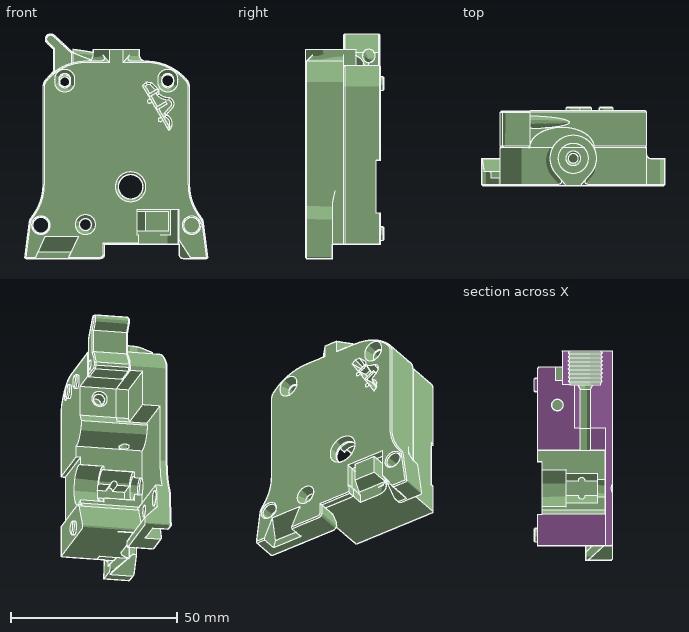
import cadquery as cq
import math

HALF_WIDTH = 22.05
HALF_FOOT = 27.6
EDGE_CHAMFER = 0.4
FRONT_DEPTH = 11.5
REAR_FACE = 22.65
OVERALL_DEPTH = 23.7
PLATE_THICKNESS = 2.3

BELLY_Z = 4.3
NOTCH_BOTTOM = 39.6
NOTCH_TOP = 50.15
WALL_DEPTH = 7.7
INNER_LEFT = -5.4
SPRING_WALL = -3.4

TOP_Z = 59.4
TOP_FLAT = 8.9
SHOULDER_RADIUS = 16.2
CORNER_RADIUS = 3.6
CORNER_X = HALF_WIDTH - CORNER_RADIUS
SHOULDER_Z = TOP_Z - SHOULDER_RADIUS
CORNER_ANGLE = math.acos((CORNER_X - TOP_FLAT) / (SHOULDER_RADIUS - CORNER_RADIUS))
CORNER_END_Z = SHOULDER_Z + (SHOULDER_RADIUS - CORNER_RADIUS) * math.sin(CORNER_ANGLE)

LEFT_FOOT_INNER = -3.5
RIGHT_FOOT_INNER = 18.85
FOOT_DEPTH = 8.2
EAR_DEPTH = 4.25
EAR_TOP_Z = 13.65
EAR_SIDE = (26.1, 11.6)
EAR_ROUNDING = 2.7
TOE_ROUNDING = 0.5
WAIST_Z = 22.3
WAIST_RADIUS = 15.5
WAIST_ANGLE = math.asin((WAIST_Z - EAR_TOP_Z) / WAIST_RADIUS)

SPOUT_Y = 8.25
SPOUT_RADIUS = 6.95
SPOUT_TOP = 62.95
SPOUT_FLOOR = 52.7
SPOUT_NOSE = 2.1
SPOUT_FLARE = 1.8
THREAD_MINOR = 9.05
THREAD_MAJOR = 10.15
THREAD_PITCH = 1.2
FILAMENT_SEAT = 4.4
FILAMENT_HOLE = 3.0
FILAMENT_END = 27.05

SHAFT_X, SHAFT_Z = 4.3, 21.6
SHAFT_HOLE = 7.3
SHAFT_MOUTH = 9.05
GEAR_BORE = 10.15
GEAR_BORE_START = 4.6
PILOT_BORE = 12.2
PILOT_START = 14.05
GEAR_SLOT_HEIGHT = 4.45
GEAR_SLOT_REACH = 10.8
CROSS_HOLE = 2.0

SCREW_HOLE = 3.5
SCREW_MOUTH = 6.0
SCREW_STRETCH = 0.8
UPPER_SCREW = (15.5, 53.1)
LOWER_SCREW = (-9.25, 10.3)
EAR_HOLE = 4.7
EAR_HOLE_X, EAR_HOLE_Z = 22.65, 10.1
EAR_BLIND_DEPTH = 6.1


def sketch(y):
    """Drawing plane parallel to XZ at depth y."""
    return cq.Workplane("XZ", origin=(0, y, 0))


def box(x, y, z):
    """Box from (low, high) pairs along each axis."""
    size = (x[1] - x[0], y[1] - y[0], z[1] - z[0])
    return cq.Workplane("XY").box(*size, centered=False).translate((x[0], y[0], z[0]))


def bore(x, z, diameter, start, end):
    """Cylinder along Y."""
    return sketch(start).center(x, z).circle(diameter / 2).extrude(start - end)


def cone(x, z, wide, narrow, depth):
    """Conical mouth opening at the front face."""
    return (
        sketch(0).center(x, z).circle(wide / 2)
        .workplane(offset=-depth).circle(narrow / 2).loft(ruled=True)
    )


def shoulder(wire, side, rising, drop=0.0):
    """Add one shoulder of the crown, lowered by drop; side is -1 or 1."""
    def on_shoulder(angle):
        x = TOP_FLAT + SHOULDER_RADIUS * math.cos(angle)
        return side * x, SHOULDER_Z - drop + SHOULDER_RADIUS * math.sin(angle)

    def on_corner(angle):
        x = CORNER_X + CORNER_RADIUS * math.cos(angle)
        return side * x, CORNER_END_Z - drop + CORNER_RADIUS * math.sin(angle)

    top = (side * TOP_FLAT, TOP_Z - drop)
    middle = on_shoulder((CORNER_ANGLE + math.pi / 2) / 2)
    joint = on_shoulder(CORNER_ANGLE)
    corner = on_corner(CORNER_ANGLE / 2)
    flank = (side * HALF_WIDTH, CORNER_END_Z - drop)
    if rising:
        return wire.threePointArc(corner, joint).threePointArc(middle, top)
    return wire.threePointArc(middle, joint).threePointArc(corner, flank)


def core_flank(wire):
    """Left flank of the core, from the belly up to the underside of the lever."""
    return (
        wire.lineTo(-5.7, BELLY_Z)
        .threePointArc((-6.7, 4.7), (-6.5, 5.8))
        .lineTo(-2.0, 12.85)
        .lineTo(1.8, 15.1)
        .lineTo(1.8, 32.9)
        .threePointArc((-3.2, 34.75), (INNER_LEFT, 38.75))
        .lineTo(SPRING_WALL, 41.1)
        .lineTo(SPRING_WALL, NOTCH_TOP)
    )


def waist(side, angle):
    """Point on the arc that leads from the flank out to the ear."""
    x = HALF_WIDTH + WAIST_RADIUS * (1 - math.cos(angle))
    return side * x, WAIST_Z - WAIST_RADIUS * math.sin(angle)


def front_outline():
    wire = (
        sketch(0)
        .moveTo(-HALF_FOOT, 0)
        .lineTo(-EAR_SIDE[0], EAR_SIDE[1])
        .lineTo(*waist(-1, WAIST_ANGLE))
        .threePointArc(waist(-1, WAIST_ANGLE / 2), (-HALF_WIDTH, WAIST_Z))
        .lineTo(-HALF_WIDTH, CORNER_END_Z)
    )
    wire = shoulder(wire, -1, True).lineTo(TOP_FLAT, TOP_Z)
    return (
        shoulder(wire, 1, False)
        .lineTo(HALF_WIDTH, WAIST_Z)
        .threePointArc(waist(1, WAIST_ANGLE / 2), waist(1, WAIST_ANGLE))
        .lineTo(*EAR_SIDE)
        .lineTo(HALF_FOOT, 0)
        .lineTo(RIGHT_FOOT_INNER, 0)
        .lineTo(RIGHT_FOOT_INNER, BELLY_Z)
        .lineTo(LEFT_FOOT_INNER, BELLY_Z)
        .lineTo(LEFT_FOOT_INNER, 0)
        .close()
    )


def core_block():
    """Deep middle of the housings in front of the joint, below the lever."""
    wire = sketch(PLATE_THICKNESS).moveTo(HALF_WIDTH, BELLY_Z)
    return core_flank(wire).lineTo(HALF_WIDTH, NOTCH_TOP).close().extrude(PLATE_THICKNESS - FRONT_DEPTH)


def rear_core():
    """Part of the core that belongs to the rear housing and reaches forward to the plate."""
    span = box((-HALF_WIDTH, RIGHT_FOOT_INNER), (PLATE_THICKNESS, FRONT_DEPTH), (BELLY_Z, NOTCH_BOTTOM))
    return core_block().intersect(span)


def front_block():
    """Full outline, thinned on the left to the plate, the ear and the notch wall."""
    foot_rounding = 1.35
    ear_back_z = 6.2
    sole_back_z = 2.3
    side_fillet = 1.35
    block = front_outline().extrude(-FRONT_DEPTH)
    block = block.edges(cq.selectors.BoxSelector(
        (LEFT_FOOT_INNER - 0.7, -0.7, -0.7), (RIGHT_FOOT_INNER + 0.7, FRONT_DEPTH + 0.7, 0.7))
    ).edges("|Y").fillet(foot_rounding)
    for side in (-1, 1):
        ear = cq.selectors.NearestToPointSelector((side * EAR_SIDE[0], FRONT_DEPTH / 2, EAR_SIDE[1]))
        block = block.edges(ear).fillet(EAR_ROUNDING)
        toe = cq.selectors.NearestToPointSelector((side * HALF_FOOT, FRONT_DEPTH / 2, 0))
        block = block.edges(toe).fillet(TOE_ROUNDING)
    block = block.faces("<Y").chamfer(EDGE_CHAMFER)

    core = core_block()
    beyond = HALF_FOOT + 0.7
    lower_left = box((-beyond, HALF_WIDTH), (PLATE_THICKNESS, FRONT_DEPTH), (EAR_TOP_Z, NOTCH_BOTTOM))
    notch = box((-beyond, 0), (WALL_DEPTH, FRONT_DEPTH), (NOTCH_BOTTOM, NOTCH_TOP))
    ear_relief = (
        cq.Workplane("YZ", origin=(-beyond, 0, 0))
        .moveTo(EAR_DEPTH, EAR_TOP_Z).lineTo(EAR_DEPTH, ear_back_z)
        .lineTo(FOOT_DEPTH, sole_back_z).lineTo(FOOT_DEPTH, -0.7)
        .lineTo(FRONT_DEPTH, -0.7).lineTo(FRONT_DEPTH, EAR_TOP_Z).close()
        .extrude(beyond + HALF_WIDTH)
    )
    right_relief = box((RIGHT_FOOT_INNER, beyond), (FOOT_DEPTH, FRONT_DEPTH), (-0.7, BELLY_Z))
    right_relief = right_relief.union(
        box((HALF_WIDTH, beyond), (FOOT_DEPTH, FRONT_DEPTH), (-0.7, WAIST_Z)).edges("|Z and <X and <Y")
        .fillet(side_fillet)
    )
    thinning = lower_left.union(notch).union(ear_relief).cut(core).union(right_relief)
    return block.cut(thinning)


def spout_plan(wall_end):
    """Round collar whose nose runs forward to the front face, cut off at wall_end."""
    nose_y = SPOUT_Y - SPOUT_RADIUS / math.sqrt(2)
    nose_x = SPOUT_RADIUS / math.sqrt(2)
    collar = cq.Workplane("XY").center(0, SPOUT_Y).circle(SPOUT_RADIUS).extrude(SPOUT_TOP - SPOUT_FLOOR)
    nose = (
        cq.Workplane("XY").polyline([(-SPOUT_NOSE, 0), (SPOUT_NOSE, 0), (nose_x, nose_y), (-nose_x, nose_y)])
        .close().extrude(SPOUT_TOP - SPOUT_FLOOR)
    )
    collar = collar.union(nose).translate((0, 0, SPOUT_FLOOR))
    return collar.intersect(box((-HALF_WIDTH, HALF_WIDTH), (0, wall_end), (0, SPOUT_TOP)))


def add_spout(body):
    """Collar on the crown with a flared root."""
    body = body.union(spout_plan(FRONT_DEPTH))
    root = cq.selectors.BoxSelector(
        (-SPOUT_RADIUS - 0.7, -0.7, TOP_Z - 0.1), (SPOUT_RADIUS + 0.7, FRONT_DEPTH + 0.7, TOP_Z + 0.1), True)
    body = body.edges(root).edges("not(|X)").fillet(SPOUT_FLARE)
    return body.union(spout_plan(FRONT_DEPTH + SPOUT_RADIUS))


def spout_bore():
    """Threaded socket, modelled as ring grooves, above the filament passage."""
    socket = cq.Workplane("XY", origin=(0, SPOUT_Y, SPOUT_FLOOR)).circle(THREAD_MINOR / 2)
    socket = socket.extrude(SPOUT_TOP - SPOUT_FLOOR)
    depth = (THREAD_MAJOR - THREAD_MINOR) / 2
    turns = int((SPOUT_TOP - SPOUT_FLOOR) / THREAD_PITCH)
    for turn in range(turns):
        low = SPOUT_TOP - (turn + 1) * THREAD_PITCH
        ring = (
            cq.Workplane("XZ", origin=(0, SPOUT_Y, 0))
            .polyline([
                (0, low), (THREAD_MINOR / 2, low),
                (THREAD_MINOR / 2 + depth, low + THREAD_PITCH / 2),
                (THREAD_MINOR / 2, low + THREAD_PITCH), (0, low + THREAD_PITCH),
            ]).close().revolve(360, (0, 0, 0), (0, 1, 0))
        )
        socket = socket.union(ring)
    funnel_depth = FILAMENT_SEAT - FILAMENT_HOLE
    funnel = (
        cq.Workplane("XY", origin=(0, SPOUT_Y, SPOUT_FLOOR)).circle(FILAMENT_SEAT / 2)
        .workplane(offset=-funnel_depth).circle(FILAMENT_HOLE / 2).loft(ruled=True)
    )
    passage = cq.Workplane("XY", origin=(0, SPOUT_Y, FILAMENT_END)).circle(FILAMENT_HOLE / 2)
    passage = passage.extrude(SPOUT_FLOOR - FILAMENT_END)
    return socket.union(funnel).union(passage)


def screw_holes():
    """Countersunk screw holes and the two ear holes of the front housing."""
    sink = 2.7
    holes = bore(*LOWER_SCREW, SCREW_HOLE, 0, FRONT_DEPTH)
    holes = holes.union(cone(*LOWER_SCREW, SCREW_MOUTH, SCREW_HOLE, sink))
    for side in (-1, 1):
        x, z = side * UPPER_SCREW[0], UPPER_SCREW[1]
        holes = holes.union(bore(x, z + SCREW_STRETCH / 2, SCREW_HOLE, 0, FRONT_DEPTH))
        for lift in (0, SCREW_STRETCH):
            holes = holes.union(cone(x, z + lift, SCREW_MOUTH, SCREW_HOLE, sink))
        depth = FOOT_DEPTH if side < 0 else EAR_BLIND_DEPTH
        holes = holes.union(bore(side * EAR_HOLE_X, EAR_HOLE_Z, EAR_HOLE, 0, depth))
        lip = EAR_HOLE + 2 * EDGE_CHAMFER
        holes = holes.union(cone(side * EAR_HOLE_X, EAR_HOLE_Z, lip, EAR_HOLE, EDGE_CHAMFER))
    return holes


def shaft_bores():
    """Stepped bore for the motor shaft and drive gear, through both housings."""
    mouth_depth = 1.75
    bores = bore(SHAFT_X, SHAFT_Z, SHAFT_HOLE, 0, REAR_FACE)
    bores = bores.union(cone(SHAFT_X, SHAFT_Z, SHAFT_MOUTH, SHAFT_HOLE, mouth_depth))
    bores = bores.union(bore(SHAFT_X, SHAFT_Z, GEAR_BORE, GEAR_BORE_START, PILOT_START))
    bores = bores.union(bore(SHAFT_X, SHAFT_Z, PILOT_BORE, PILOT_START, REAR_FACE))
    low, high = SHAFT_Z - GEAR_SLOT_HEIGHT / 2, SHAFT_Z + GEAR_SLOT_HEIGHT / 2
    reach = (SHAFT_X, SHAFT_X + GEAR_SLOT_REACH)
    bores = bores.union(box(reach, (GEAR_BORE_START, PILOT_START), (low, high)))
    for z in (low, high):
        notch = cq.Workplane("YZ", origin=(SHAFT_X, (GEAR_BORE_START + PILOT_START) / 2, z))
        bores = bores.union(notch.circle(CROSS_HOLE / 2).extrude(GEAR_SLOT_REACH))
    return bores


def foot_scoops():
    """Slanted pockets in the lower front edge of both feet."""
    left = (
        sketch(0).polyline([(-24.5, -0.1), (-21.35, 6.75), (-11.3, 6.75), (-14.55, -0.1)]).close()
        .extrude(-FOOT_DEPTH)
    )
    slope = (
        cq.Workplane("YZ", origin=(-HALF_FOOT, 0, 0))
        .polyline([(0, 6.75), (4.7, 2.0), (5.15, -0.1), (0, -0.1)]).close().extrude(2 * HALF_FOOT)
    )
    right = (
        sketch(0).polyline([(RIGHT_FOOT_INNER - 0.7, -0.1), (RIGHT_FOOT_INNER - 0.7, 6.75), (22.6, -0.1)])
        .close().extrude(-FOOT_DEPTH)
    )
    right_slope = (
        cq.Workplane("YZ")
        .polyline([(0, 6.75), (FOOT_DEPTH - 0.7, -0.1), (0, -0.1)]).close().extrude(HALF_FOOT)
    )
    return left.intersect(slope).union(right.intersect(right_slope))


BUTTON_X = (8.8, 15.75)
BUTTON_Z = (8.3, 14.2)
BUTTON_FRONT = 0.2
POCKET_X = (6.2, 16.3)
POCKET_Z = (7.15, 14.9)
POCKET_DEPTH = 5.95


def button_pocket():
    """Square pocket, open to the belly through a channel with a rounded right flank."""
    channel_left, channel_bend = 6.7, 13.25
    flank = RIGHT_FOOT_INNER - channel_bend
    diagonal = flank / math.sqrt(2)
    hollow = (
        cq.Workplane("XY", origin=(0, 0, BELLY_Z - 0.1))
        .moveTo(channel_left, 0).lineTo(channel_left, POCKET_DEPTH).lineTo(channel_bend, POCKET_DEPTH)
        .threePointArc((channel_bend + diagonal, POCKET_DEPTH - flank + diagonal),
                       (RIGHT_FOOT_INNER, POCKET_DEPTH - flank))
        .lineTo(RIGHT_FOOT_INNER, 0).close()
        .extrude(POCKET_Z[1] - BELLY_Z + 0.1)
    )
    return hollow.union(box(POCKET_X, (0, POCKET_DEPTH), POCKET_Z))


def clip_pocket():
    """Drafted pocket with a straight back, a wavy front, two ribs and two pin notches."""
    depth, draft = 3.4, 12
    rib_width, rib_start = 0.8, 1.0
    pocket = (
        sketch(0).moveTo(7.85, 52.0)
        .lineTo(9.0, 53.05).lineTo(10.55, 53.0).lineTo(12.8, 50.85).lineTo(12.85, 49.6)
        .threePointArc((14.3, 48.7), (15.95, 48.4))
        .threePointArc((17.2, 47.3), (17.05, 45.5))
        .lineTo(15.0, 43.25)
        .threePointArc((16.75, 40.95), (15.8, 38.5))
        .close().extrude(-depth, taper=draft)
    )
    rib_length, rib_tilt = 3.5, 30
    pin_notch = 1.2
    for x, z in ((11.35, 49.95), (13.5, 46.0)):
        rib = box((-rib_length / 2, rib_length / 2), (rib_start, depth), (-rib_width / 2, rib_width / 2))
        rib = rib.rotate((0, 0, 0), (0, 1, 0), -rib_tilt).translate((x, 0, z))
        pocket = pocket.cut(rib)
    for x, z in ((10.0, 47.3), (13.25, 41.8)):
        pocket = pocket.union(bore(x, z, pin_notch, 0, depth))
    return pocket


def make_front_housing():
    body = add_spout(front_block()).cut(rear_core())
    for cutter in (spout_bore(), screw_holes(), shaft_bores(), foot_scoops(), button_pocket(), clip_pocket()):
        body = body.cut(cutter)
    return body


LEVER_END = -13.05
LEVER_END_Z = 62.0
LEVER_STEM = -18.9
LEVER_BACK = 22.45
LEVER_PIVOT = 3.0
KNOB_RADIUS = 1.6
KNOB_TOP = 67.6
LEVER_SLOPE = math.radians(43)


def make_lever():
    """Latch lever with a rounded thumb tip and a foot that follows the shoulder."""
    along = (-math.cos(LEVER_SLOPE), math.sin(LEVER_SLOPE))
    across = (math.sin(LEVER_SLOPE), math.cos(LEVER_SLOPE))
    reach = (KNOB_TOP - KNOB_RADIUS - LEVER_END_Z + KNOB_RADIUS * across[1]) / along[1]

    def on_arm(distance, below):
        x = LEVER_END + distance * along[0] - below * across[0]
        return x, LEVER_END_Z + distance * along[1] - below * across[1]

    underside = on_arm(reach, 2 * KNOB_RADIUS)
    stem_top = underside[1] - (LEVER_STEM - underside[0]) * math.tan(LEVER_SLOPE)
    profile = (
        sketch(FRONT_DEPTH)
        .moveTo(LEVER_END, NOTCH_TOP)
        .lineTo(LEVER_END, LEVER_END_Z)
        .lineTo(*on_arm(reach, 0))
        .threePointArc(on_arm(reach + KNOB_RADIUS, KNOB_RADIUS), on_arm(reach, 2 * KNOB_RADIUS))
        .lineTo(LEVER_STEM, stem_top)
        .lineTo(LEVER_STEM, 56.3)
        .lineTo(-21.2, 53.7)
        .lineTo(-HALF_WIDTH, 52.05)
        .lineTo(-HALF_WIDTH, 51.05)
        .lineTo(-21.15, NOTCH_TOP)
        .close()
    )
    lever = profile.extrude(FRONT_DEPTH - LEVER_BACK)
    lever = lever.faces("<Y or >Y").chamfer(EDGE_CHAMFER)
    return lever.cut(bore(-UPPER_SCREW[0], UPPER_SCREW[1], LEVER_PIVOT, FRONT_DEPTH, LEVER_BACK))


REAR_TOP_Z = 58.15
RIDGE_START = (-15.2, 61.25)
RIDGE_END = (12.85, 58.55)
RIDGE_Y = 19.05
RIDGE_RADIUS = 1.95
SPRING_Y, SPRING_Z = 16.6, 46.65
SPRING_HOLE, SPRING_MOUTH = 3.4, 4.7


def rear_outline():
    wire = (
        sketch(FRONT_DEPTH)
        .moveTo(LEVER_END, NOTCH_TOP).lineTo(LEVER_END, REAR_TOP_Z)
        .lineTo(TOP_FLAT, REAR_TOP_Z)
    )
    wire = shoulder(wire, 1, False, TOP_Z - REAR_TOP_Z).lineTo(HALF_WIDTH, BELLY_Z)
    return core_flank(wire).close()


def ramp():
    """Sloping top beside the lever."""
    foot_x = -1.35
    return (
        sketch(FRONT_DEPTH)
        .moveTo(LEVER_END, NOTCH_TOP).lineTo(LEVER_END, LEVER_END_Z)
        .threePointArc((-8.45, 60.1), (foot_x, REAR_TOP_Z))
        .lineTo(foot_x, NOTCH_TOP).close()
        .extrude(FRONT_DEPTH - RIDGE_Y)
    )


def collar_clearance():
    """Half-elliptical hollow in the top of the rear housing, around the spout."""
    half_length, depth = 9.7, 6.1
    floor_z = 54.1
    return (
        cq.Workplane("XY", origin=(LEVER_END + half_length, FRONT_DEPTH, floor_z))
        .ellipse(half_length, depth).extrude(KNOB_TOP - floor_z)
    )


def ridge():
    """Slender tapered bulge along the top of the rear housing."""
    run = RIDGE_END[0] - RIDGE_START[0]
    fall = RIDGE_START[1] - RIDGE_END[1]
    half_length = math.hypot(run, fall) / 2
    bulge = (
        sketch(0).moveTo(-half_length, 0)
        .ellipseArc(half_length, RIDGE_RADIUS, 0, 180, startAtCurrent=False).close()
        .revolve(360, (0, 0, 0), (1, 0, 0))
        .rotate((0, 0, 0), (0, 1, 0), math.degrees(math.atan2(fall, run)))
    )
    middle = ((RIDGE_START[0] + RIDGE_END[0]) / 2, RIDGE_Y, (RIDGE_START[1] + RIDGE_END[1]) / 2)
    bulge = bulge.translate(middle)
    return bulge.intersect(box((LEVER_END, HALF_WIDTH), (FRONT_DEPTH, REAR_FACE), (NOTCH_TOP, KNOB_TOP)))


def make_rear_housing():
    back_recess = 1.35
    recess_z = (13.8, 29.55)
    spring_depth = 5.4
    body = rear_outline().extrude(FRONT_DEPTH - REAR_FACE)
    crown = cq.selectors.BoxSelector(
        (INNER_LEFT, FRONT_DEPTH - 0.7, NOTCH_TOP + 0.1), (HALF_WIDTH, REAR_FACE + 0.7, TOP_Z))
    body = body.faces("<Y or >Y").edges(crown).chamfer(EDGE_CHAMFER)
    body = body.union(ramp()).union(ridge()).cut(collar_clearance())
    body = body.cut(box((INNER_LEFT, HALF_WIDTH), (REAR_FACE - back_recess, REAR_FACE), recess_z))
    seat = cq.Workplane("YZ", origin=(SPRING_WALL, SPRING_Y, SPRING_Z))
    body = body.cut(seat.circle(SPRING_HOLE / 2).extrude(spring_depth))
    funnel_depth = (SPRING_MOUTH - SPRING_HOLE) / 2
    body = body.cut(
        seat.circle(SPRING_MOUTH / 2).workplane(offset=funnel_depth).circle(SPRING_HOLE / 2).loft(ruled=True))
    screw_z = UPPER_SCREW[1] + SCREW_STRETCH / 2
    body = body.cut(bore(UPPER_SCREW[0], screw_z, SCREW_HOLE, FRONT_DEPTH, REAR_FACE))
    body = body.cut(spout_plan(FRONT_DEPTH + SPOUT_RADIUS))
    body = body.union(rear_core())
    for cutter in (spout_bore(), shaft_bores(), button_pocket(), clip_pocket()):
        body = body.cut(cutter)
    return body


REAR_SCREWS = ((-0.15, 52.65), (9.9, 52.65), (3.45, 7.6))
REAR_SCREW_HEAD = 4.2


def make_button():
    """Block whose left side slopes back to the floor of its pocket."""
    return (
        cq.Workplane("XY", origin=(0, 0, BUTTON_Z[0]))
        .polyline([
            (POCKET_X[0], POCKET_DEPTH), (BUTTON_X[0], BUTTON_FRONT),
            (BUTTON_X[1], BUTTON_FRONT), (BUTTON_X[1], POCKET_DEPTH),
        ]).close().extrude(BUTTON_Z[1] - BUTTON_Z[0])
    )


def make_screw_head(x, z):
    """Round head standing on the rear face."""
    head = bore(x, z, REAR_SCREW_HEAD, REAR_FACE, OVERALL_DEPTH)
    return head.faces(">Y").chamfer(EDGE_CHAMFER)


front_housing = make_front_housing()
rear_housing = make_rear_housing()
lever = make_lever()
button = make_button()
screw_heads = [make_screw_head(x, z) for x, z in REAR_SCREWS]

result = cq.Compound.makeCompound([
    front_housing.val(),
    rear_housing.val(),
    lever.val(),
    button.val(),
    *[head.val() for head in screw_heads],
])